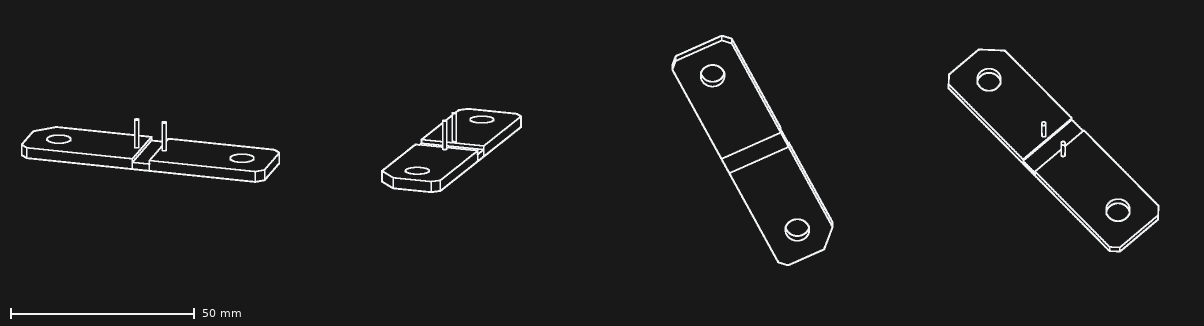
import cadquery as cq

total_length = 69.0
width = 18.0
total_height = 11.05

plate_thickness = 3.05
strip_thickness = 2.0
strip_length = 4.8
corner_cut = 2.0
marker_corner_cut = 5.05
hole_diameter = 6.5
hole_spacing = 52.0

pin_diameter = 1.1
pin_spacing = 7.8
pin_height = total_height - plate_thickness


def make_terminal(side, back_cut):
    """Plate with cut outer corners and a bolt hole; side is -1 for left, +1 for right."""
    inner_x = side * strip_length / 2
    outer_x = side * total_length / 2
    half_width = width / 2
    outline = [
        (inner_x, -half_width),
        (outer_x - side * corner_cut, -half_width),
        (outer_x, -half_width + corner_cut),
        (outer_x, half_width - back_cut),
        (outer_x - side * back_cut, half_width),
        (inner_x, half_width),
    ]
    plate = cq.Workplane("XY").polyline(outline).close().extrude(plate_thickness)
    bolt_hole = (
        cq.Workplane("XY")
        .center(side * hole_spacing / 2, 0)
        .circle(hole_diameter / 2)
        .extrude(plate_thickness)
    )
    return plate.cut(bolt_hole)


def make_strip():
    """Resistor strip, flush with the undersides of the plates."""
    return cq.Workplane("XY").box(strip_length, width, strip_thickness, centered=(True, True, False))


def make_pin(side):
    """Round sense pin resting on the top face of a plate."""
    return (
        cq.Workplane("XY", origin=(side * pin_spacing / 2, 0, plate_thickness))
        .circle(pin_diameter / 2)
        .extrude(pin_height)
    )


left_terminal = make_terminal(-1, marker_corner_cut)
right_terminal = make_terminal(1, corner_cut)
strip = make_strip()
pins = [make_pin(side) for side in (-1, 1)]

result = cq.Compound.makeCompound(
    [left_terminal.val(), right_terminal.val(), strip.val(), *[pin.val() for pin in pins]]
)